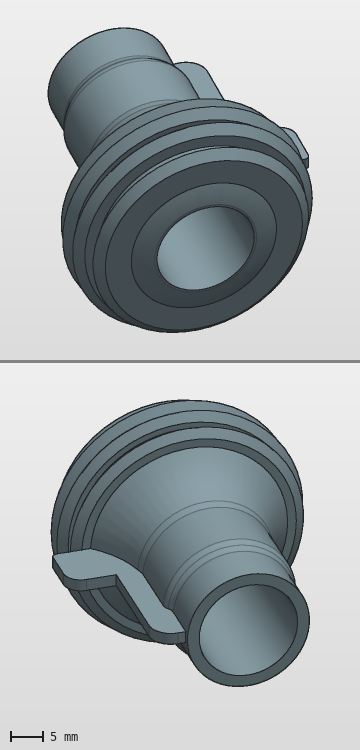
import cadquery as cq
import math

length = 44.35
bore_radius = 16.0 / 2

spigot_radius = 19.87 / 2
tube_radius = 10.8
step_start = 7.3
step_end = 9.75

taper_start = 20.1
flare_start = (21.5, 11.15)
flare_middle = (26.0, 12.85)
flare_end = (30.0, 16.05)

bulb_start = (31.2, 16.85)
bulb_top = (35.05, 17.6)
outlet_radius = 8.4

first_rib_width = 2.17
rib_width = 2.5
ribs = (
    (flare_end[0], first_rib_width, 19.0),
    (33.5, rib_width, 40.05 / 2),
    (37.25, rib_width, 19.75),
    (41.08, rib_width, 17.75),
)
rib_peak_offset = 1.05
rib_tip_height = 1.5

fin_thickness = 1.95
fin_start = 0.95
fin_step = 21.03
fin_end = flare_end[0]
fin_low_height = 14.73
fin_high_height = 22.4
fin_low_corner = 3.55
fin_high_corner = 2.85
fin_end_corner = 0.85


def revolve_around_x(profile):
    """Turn a closed half-profile into a solid."""
    return profile.revolve(360, (0, 0, 0), (1, 0, 0))


def step_shoulder():
    """Point on the convex half of the step, tangent to the tube at its end."""
    run = (step_end - step_start) / 2
    rise = (tube_radius - spigot_radius) / 2
    radius = (run**2 + rise**2) / (2 * rise)
    half_run = run / 2
    return (step_end - half_run, tube_radius - radius + math.sqrt(radius**2 - half_run**2))


def make_body():
    """Solid tube, flare and bulb."""
    step_middle = ((step_start + step_end) / 2, (spigot_radius + tube_radius) / 2)
    profile = (
        cq.Workplane("XY")
        .lineTo(0, spigot_radius)
        .lineTo(step_start, spigot_radius)
        .tangentArcPoint(step_middle, relative=False)
        .threePointArc(step_shoulder(), (step_end, tube_radius))
        .lineTo(taper_start, tube_radius)
        .lineTo(*flare_start)
        .threePointArc(flare_middle, flare_end)
        .lineTo(*bulb_start)
        .threePointArc(bulb_top, (length, outlet_radius))
        .lineTo(length, 0)
        .close()
    )
    return revolve_around_x(profile)


def make_rib(start, width, peak_radius):
    """Solid disc with a pointed rim."""
    shoulder = peak_radius - rib_tip_height
    end = start + width
    profile = cq.Workplane("XY").polyline(
        [
            (start, 0),
            (start, shoulder),
            (start + rib_peak_offset, peak_radius),
            (end, shoulder),
            (end, 0),
        ]
    )
    return revolve_around_x(profile.close())


def make_fin():
    """L-shaped plate with rounded corners, centred on Z = 0."""

    def block(start, end, height):
        center = (start + end) / 2
        plate = cq.Workplane("XY").box(end - start, height, fin_thickness)
        return plate.translate((center, height / 2, 0))

    low = block(fin_start, fin_end, fin_low_height)
    low = low.faces("<X").edges(">Y").fillet(fin_low_corner)
    high = block(fin_step, fin_end, fin_high_height)
    high = high.faces("<X").edges(">Y").fillet(fin_high_corner)
    high = high.faces(">X").edges(">Y").fillet(fin_end_corner)
    return low.union(high)


body = make_body()
for rib_start, width, rib_peak in ribs:
    body = body.union(make_rib(rib_start, width, rib_peak))
body = body.union(make_fin())

bore = cq.Workplane("YZ").circle(bore_radius).extrude(length)
result = body.cut(bore)